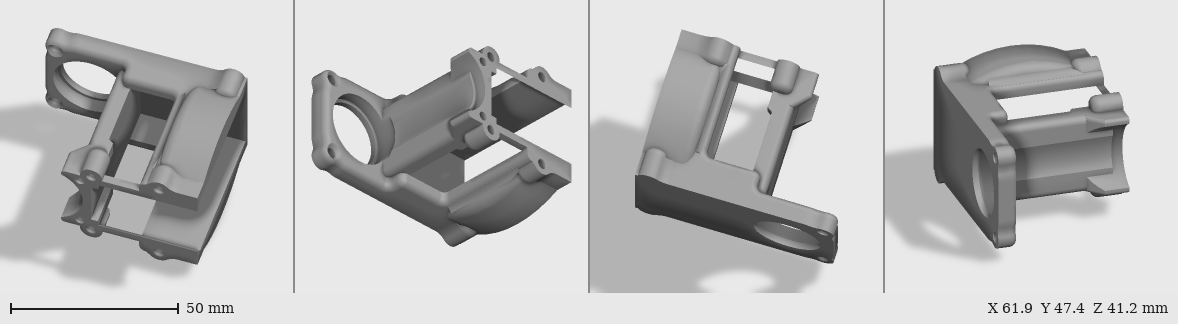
import cadquery as cq
import math

LENGTH = 61.9
DEPTH = 47.4
HALF_HEIGHT = 16.4

PLATE_FRONT = 41.3
STEP_X = 26.1
STEP_FRONT = 35.4
WALL_X = 43.65
STEP_RADIUS = 1.85
STEP_NOSE_RADIUS = 2.15
EDGE_RADIUS = 2.0
BACK_THICKNESS = 2.0
CAVITY_HALF_HEIGHT = 12.4
LIP_HALF_HEIGHT = 9.9

LUG_RADIUS = 3.4
LUG_Z = HALF_HEIGHT - LUG_RADIUS
WAVE_ANGLE = math.radians(22)
WAVE_HOLLOW_RADIUS = 4.35
WAVE_CREST_RADIUS = 6.8
LUG_HOLE_RADIUS = 1.7
LUG_SINK_RADIUS = 2.8

BORE_X = 14.4
BORE_RADIUS = 10.4
SEAT_RADIUS = 11.5
FRONT_SEAT_DEPTH = 3.85
REAR_SEAT_FRONT = 38.25
INNER_BACK = DEPTH - BACK_THICKNESS

COLUMN_LEFT = 23.4
COLUMN_RIGHT = 29.05
COLUMN_ROUND = 2.1
FOOT_LEFT = 19.15
FOOT_SLOPE_START = 7.75
FOOT_ROUND = 1.2
PAD_RIGHT = 30.65
PAD_INNER_Z = 7.85
PAD_BACK = 14.5
PAD_SLOPE_BACK = 15.55
RELIEF_LEFT = 28.5

FOOT_BOSS_X = 28.55
FOOT_BOSS_RADIUS = 3.45
FOOT_BOSS_Z = HALF_HEIGHT - FOOT_BOSS_RADIUS
FOOT_BOSS_LENGTH = 9.3
BOSS_END_ROUND = 2.1
FOOT_SCREW_RADIUS = 1.5
SCREW_DEPTH = 7.4
SCREW_CHAMFER = 0.2
PIN_X = 25.1
PIN_Z = 9.65
PIN_RADIUS = 1.4

WALL_BOSS_RADIUS = 3.5
WALL_BOSS_Z = 15.4
WALL_BOSS_BLEND = 4.8
FRONT_BOSS_X = 49.8
FRONT_BOSS_LENGTH = 8.05
FRONT_BOSS_LEFT = 43.9
FRONT_BOSS_CORNER = 0.9
BACK_BOSS_X = 57.65
BACK_BOSS_LENGTH = 9.6
WALL_SCREW_RADIUS = 1.55

BULGE_TOP = 20.6
BULGE_RADIUS = 36.55
BULGE_Y = 23.05
BULGE_LEFT = 46.45
BULGE_ROUND = 3.5
SKIRT_LEFT = 44.6
SKIRT_FOOT = 16.15
SKIRT_TOP = 18.1
SKIRT_RADIUS = 3.1


def along_y(front):
    """Sketch plane with X and Z axes at the given Y."""
    return cq.Workplane("XZ", origin=(0, front, 0))


def rod(x, z, radius, front, back):
    """Cylinder along Y."""
    return along_y(front).center(x, z).circle(radius).extrude(front - back)


def block(x0, x1, front, back, z0, z1):
    """Box between the given limits along X, Y and Z."""
    box = cq.Workplane("XY", origin=(x0, front, z0))
    return box.box(x1 - x0, back - front, z1 - z0, centered=False)


def mirrored(shape):
    """The shape together with its mirror image below the mid plane."""
    return shape.union(shape.mirror("XY"))


def wave_points():
    """Wave beside a lug as (along, outward) offsets from the lug centre, lug side first."""
    reach = LUG_RADIUS + WAVE_HOLLOW_RADIUS
    hollow = (reach * math.sin(WAVE_ANGLE), reach * math.cos(WAVE_ANGLE))
    span = WAVE_HOLLOW_RADIUS + WAVE_CREST_RADIUS
    rise = hollow[1] + WAVE_CREST_RADIUS - LUG_RADIUS
    crest = (hollow[0] + math.sqrt(span**2 - rise**2), LUG_RADIUS - WAVE_CREST_RADIUS)
    crest_angle = math.acos(rise / span)

    leave = (LUG_RADIUS * math.sin(WAVE_ANGLE), LUG_RADIUS * math.cos(WAVE_ANGLE))
    low = (hollow[0], hollow[1] - WAVE_HOLLOW_RADIUS)
    turn = (
        crest[0] - WAVE_CREST_RADIUS * math.sin(crest_angle),
        crest[1] + WAVE_CREST_RADIUS * math.cos(crest_angle),
    )
    middle = (
        crest[0] - WAVE_CREST_RADIUS * math.sin(crest_angle / 2),
        crest[1] + WAVE_CREST_RADIUS * math.cos(crest_angle / 2),
    )
    end = (crest[0], LUG_RADIUS)
    return leave, low, turn, middle, end


def shell_outline():
    """Outline in XZ with two lugged corners on the left, extruded over the whole depth."""
    wave = wave_points()
    top = [(LUG_RADIUS + along, LUG_Z + out) for along, out in wave]
    left = [(LUG_RADIUS - out, LUG_Z - along) for along, out in wave]
    diagonal = LUG_RADIUS * math.sqrt(0.5)
    lug_tip = (LUG_RADIUS - diagonal, LUG_Z + diagonal)

    def low(point):
        return (point[0], -point[1])

    outline = (
        along_y(0)
        .moveTo(LENGTH, HALF_HEIGHT)
        .lineTo(*top[4])
        .threePointArc(top[3], top[2])
        .threePointArc(top[1], top[0])
        .threePointArc(lug_tip, left[0])
        .threePointArc(left[1], left[2])
        .threePointArc(left[3], left[4])
        .lineTo(*low(left[4]))
        .threePointArc(low(left[3]), low(left[2]))
        .threePointArc(low(left[1]), low(left[0]))
        .threePointArc(low(lug_tip), low(top[0]))
        .threePointArc(low(top[1]), low(top[2]))
        .threePointArc(low(top[3]), low(top[4]))
        .lineTo(LENGTH, -HALF_HEIGHT)
        .close()
    )
    return outline.extrude(-DEPTH)


def stepped_shell():
    """Solid shell whose front steps from the plate down to the side walls."""
    margin = 6.2
    near = 0.3
    void = (
        cq.Workplane("XY", origin=(0, 0, -HALF_HEIGHT - margin))
        .polyline(
            [
                (-margin, -margin),
                (WALL_X, -margin),
                (WALL_X, STEP_FRONT),
                (STEP_X, STEP_FRONT),
                (STEP_X, PLATE_FRONT),
                (-margin, PLATE_FRONT),
            ]
        )
        .close()
        .extrude(2 * (HALF_HEIGHT + margin))
    )

    def corner(x, y):
        height = HALF_HEIGHT + 2 * margin
        return cq.selectors.BoxSelector((x - near, y - near, -height), (x + near, y + near, height))

    void = void.edges(corner(WALL_X, STEP_FRONT)).fillet(STEP_RADIUS)
    void = void.edges(corner(STEP_X, STEP_FRONT)).fillet(STEP_NOSE_RADIUS)
    void = void.edges(corner(STEP_X, PLATE_FRONT)).fillet(STEP_RADIUS)
    shell = shell_outline().cut(void)
    rim = cq.selectors.NearestToPointSelector((STEP_X / 2, PLATE_FRONT, HALF_HEIGHT))
    return shell.edges(rim).fillet(EDGE_RADIUS)


def arch(left):
    """Arched block on the upper side wall, running from the given X to the right end."""
    centre_z = BULGE_TOP - BULGE_RADIUS
    edge_z = centre_z + math.sqrt(BULGE_RADIUS**2 - BULGE_Y**2)
    return (
        cq.Workplane("YZ", origin=(left, 0, 0))
        .moveTo(0, CAVITY_HALF_HEIGHT)
        .lineTo(0, edge_z)
        .threePointArc((BULGE_Y, BULGE_TOP), (2 * BULGE_Y, edge_z))
        .lineTo(2 * BULGE_Y, CAVITY_HALF_HEIGHT)
        .close()
        .extrude(LENGTH - left)
    )


def bulge():
    """Arched swelling of the upper side wall: rounded left end above a hollow skirt."""
    crown = arch(BULGE_LEFT).faces("<X").edges("%CIRCLE").fillet(BULGE_ROUND)
    skirt = (
        along_y(0)
        .moveTo(SKIRT_LEFT, CAVITY_HALF_HEIGHT)
        .lineTo(SKIRT_LEFT, SKIRT_FOOT)
        .radiusArc((BULGE_LEFT, SKIRT_TOP), -SKIRT_RADIUS)
        .lineTo(BULGE_LEFT, CAVITY_HALF_HEIGHT)
        .close()
        .extrude(-STEP_FRONT)
    )
    return crown.union(skirt.intersect(arch(SKIRT_LEFT)))


def blend_geometry():
    """Offset of the blend centre from its boss, and the joining point on the boss."""
    rise = HALF_HEIGHT + WALL_BOSS_BLEND - WALL_BOSS_Z
    reach = WALL_BOSS_RADIUS + WALL_BOSS_BLEND
    run = math.sqrt(reach**2 - rise**2)
    share = WALL_BOSS_RADIUS / reach
    return run, share * run, WALL_BOSS_Z + share * rise


def blend_arc_middle(centre_x, join_x):
    """Point halfway round the blend arc between the boss and the flat wall."""
    angle = math.asin(abs(join_x - centre_x) / WALL_BOSS_BLEND) / 2
    side = math.copysign(1, join_x - centre_x)
    x = centre_x + side * WALL_BOSS_BLEND * math.sin(angle)
    return x, HALF_HEIGHT + WALL_BOSS_BLEND * (1 - math.cos(angle))


def front_wall_boss():
    """Boss at the front of the upper wall: sloping on the left, blended on the right."""
    run, join_run, join_z = blend_geometry()
    diagonal = WALL_BOSS_RADIUS * math.sqrt(0.5)
    slope_top = (FRONT_BOSS_X - diagonal, WALL_BOSS_Z + diagonal)
    slope_foot_z = slope_top[1] - (slope_top[0] - FRONT_BOSS_LEFT)
    blend_x = FRONT_BOSS_X + run
    join_x = FRONT_BOSS_X + join_run
    boss = (
        along_y(0)
        .moveTo(FRONT_BOSS_LEFT, CAVITY_HALF_HEIGHT)
        .lineTo(FRONT_BOSS_LEFT, slope_foot_z)
        .lineTo(*slope_top)
        .threePointArc((FRONT_BOSS_X, WALL_BOSS_Z + WALL_BOSS_RADIUS), (join_x, join_z))
        .threePointArc(blend_arc_middle(blend_x, join_x), (blend_x, HALF_HEIGHT))
        .lineTo(blend_x, CAVITY_HALF_HEIGHT)
        .close()
        .extrude(-FRONT_BOSS_LENGTH)
    )
    foot = cq.selectors.NearestToPointSelector((FRONT_BOSS_LEFT, FRONT_BOSS_LENGTH / 2, slope_foot_z))
    boss = boss.edges(foot).fillet(FRONT_BOSS_CORNER)
    top = cq.selectors.NearestToPointSelector((FRONT_BOSS_X, FRONT_BOSS_LENGTH, BULGE_TOP))
    return boss.edges(top).fillet(BOSS_END_ROUND)


def back_wall_boss():
    """Boss at the back of the upper wall, blended on the left."""
    run, join_run, join_z = blend_geometry()
    front = DEPTH - BACK_BOSS_LENGTH
    post = rod(BACK_BOSS_X, WALL_BOSS_Z, WALL_BOSS_RADIUS, front, DEPTH)
    post = post.faces("<Y").edges().fillet(BOSS_END_ROUND)
    blend_x = BACK_BOSS_X - run
    join_x = BACK_BOSS_X - join_run
    web = (
        along_y(front + BOSS_END_ROUND)
        .moveTo(blend_x, HALF_HEIGHT)
        .threePointArc(blend_arc_middle(blend_x, join_x), (join_x, join_z))
        .lineTo(BACK_BOSS_X, WALL_BOSS_Z)
        .lineTo(blend_x, WALL_BOSS_Z)
        .close()
        .extrude(front + BOSS_END_ROUND - DEPTH)
    )
    return post.union(web)


def foot():
    """Wide foot of the column, with a 45 degree shoulder and a hollow for the bearing."""
    slope_back = FOOT_SLOPE_START + COLUMN_LEFT - FOOT_LEFT
    body = (
        cq.Workplane("XY", origin=(0, 0, -CAVITY_HALF_HEIGHT))
        .polyline(
            [
                (FOOT_LEFT, 0),
                (COLUMN_RIGHT, 0),
                (COLUMN_RIGHT, slope_back),
                (COLUMN_LEFT, slope_back),
                (FOOT_LEFT, FOOT_SLOPE_START),
            ]
        )
        .close()
        .extrude(2 * CAVITY_HALF_HEIGHT)
    )
    for z in (-CAVITY_HALF_HEIGHT, CAVITY_HALF_HEIGHT):
        left_side = (FOOT_LEFT, FOOT_SLOPE_START / 2, z)
        shoulder = ((FOOT_LEFT + COLUMN_LEFT) / 2, (FOOT_SLOPE_START + slope_back) / 2, z)
        rim = cq.selectors.NearestToPointSelector(left_side) + cq.selectors.NearestToPointSelector(shoulder)
        body = body.edges(rim).fillet(FOOT_ROUND)
    return body.cut(rod(BORE_X, 0, SEAT_RADIUS, 0, DEPTH))


def column():
    """Column joining the foot to the plate, rounded along its left edges."""
    post = block(COLUMN_LEFT, COLUMN_RIGHT, 0, INNER_BACK, -CAVITY_HALF_HEIGHT, CAVITY_HALF_HEIGHT)
    return post.edges("|Y and <X").fillet(COLUMN_ROUND)


def pad():
    """Upper thickening on the cavity side of the column foot."""
    return (
        cq.Workplane("XY", origin=(0, 0, PAD_INNER_Z))
        .polyline(
            [
                (RELIEF_LEFT, 0),
                (PAD_RIGHT, 0),
                (PAD_RIGHT, PAD_BACK),
                (COLUMN_RIGHT, PAD_SLOPE_BACK),
                (RELIEF_LEFT, PAD_SLOPE_BACK),
            ]
        )
        .close()
        .extrude(CAVITY_HALF_HEIGHT - PAD_INNER_Z)
    )


def lip():
    """Triangular lip along the front of the upper cavity wall, backed by a 45 degree slope."""
    depth = CAVITY_HALF_HEIGHT - LIP_HALF_HEIGHT
    return (
        cq.Workplane("YZ", origin=(COLUMN_RIGHT, 0, 0))
        .polyline([(0, LIP_HALF_HEIGHT), (depth, CAVITY_HALF_HEIGHT), (0, CAVITY_HALF_HEIGHT)])
        .close()
        .extrude(LENGTH - COLUMN_RIGHT)
    )


def foot_boss():
    """Upper screw boss on the column foot, rounded at its back end."""
    post = rod(FOOT_BOSS_X, FOOT_BOSS_Z, FOOT_BOSS_RADIUS, 0, FOOT_BOSS_LENGTH)
    post = post.faces(">Y").edges().fillet(BOSS_END_ROUND)
    return post.cut(block(COLUMN_RIGHT, LENGTH, 0, DEPTH, 0, CAVITY_HALF_HEIGHT))


def bore():
    """Bearing bore revolved about its axis, with a seat at each end."""
    cone_front = REAR_SEAT_FRONT - (SEAT_RADIUS - BORE_RADIUS)
    return (
        cq.Workplane("XY")
        .polyline(
            [
                (BORE_X, 0),
                (BORE_X + SEAT_RADIUS, 0),
                (BORE_X + SEAT_RADIUS, FRONT_SEAT_DEPTH),
                (BORE_X + BORE_RADIUS, FRONT_SEAT_DEPTH),
                (BORE_X + BORE_RADIUS, cone_front),
                (BORE_X + SEAT_RADIUS, REAR_SEAT_FRONT),
                (BORE_X + SEAT_RADIUS, INNER_BACK),
                (BORE_X + BORE_RADIUS, INNER_BACK),
                (BORE_X + BORE_RADIUS, DEPTH),
                (BORE_X, DEPTH),
            ]
        )
        .close()
        .revolve(360, (BORE_X, 0, 0), (BORE_X, DEPTH, 0))
    )


def countersunk_hole(x, z, radius, rim_radius, front, back):
    """Hole along Y with a 45 degree rim at its front."""
    rim = rim_radius - radius
    cone = along_y(front).center(x, z).circle(rim_radius).extrude(-rim, taper=45)
    return rod(x, z, radius, front, back).union(cone)


def holes():
    """All the holes above the mid plane."""
    lug = countersunk_hole(LUG_RADIUS, LUG_Z, LUG_HOLE_RADIUS, LUG_SINK_RADIUS, PLATE_FRONT, DEPTH)
    pin = rod(PIN_X, PIN_Z, PIN_RADIUS, 0, SCREW_DEPTH)
    cutters = lug.union(pin)
    for x, z, radius in (
        (FOOT_BOSS_X, FOOT_BOSS_Z, FOOT_SCREW_RADIUS),
        (FRONT_BOSS_X, WALL_BOSS_Z, WALL_SCREW_RADIUS),
    ):
        cutters = cutters.union(countersunk_hole(x, z, radius, radius + SCREW_CHAMFER, 0, SCREW_DEPTH))
    return cutters


wall_features = bulge().union(front_wall_boss()).union(back_wall_boss())
cavity = block(COLUMN_RIGHT, LENGTH, 0, INNER_BACK, -CAVITY_HALF_HEIGHT, CAVITY_HALF_HEIGHT)
relief = block(RELIEF_LEFT, COLUMN_RIGHT, 0, PAD_BACK, -PAD_INNER_Z, PAD_INNER_Z)

shell = stepped_shell().union(mirrored(wall_features)).cut(cavity)
support = foot().union(column()).cut(relief)
support = support.union(mirrored(pad().union(lip()).union(foot_boss())))
result = shell.union(support).cut(bore()).cut(mirrored(holes()))